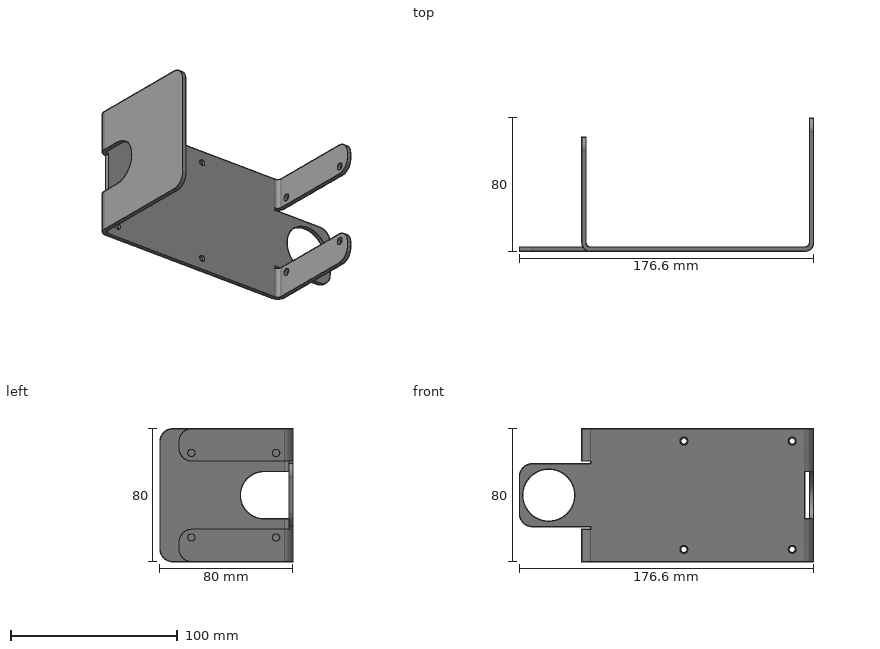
import cadquery as cq

length = 176.6
depth = 80.0
height = 80.0
thickness = 2.6
bend_radius = 5.3
corner_radius = 8.0

tab_length = 37.5
tab_width = 38.0
opening_diameter = 31.0
opening_from_end = 17.7

arm_depth = 68.5
arm_width = 19.6
arm_hole_diameter = 4.5
arm_hole_depths = (10.2, 61.1)
arm_hole_from_edge = 14.7

slot_width = 28.3
slot_depth = 31.6

base_hole_diameter = 3.7
countersink_diameter = 4.8
base_hole_spacing = 65.0
base_hole_start = 98.7

wall_inner_x = length - thickness
bend_start_x = length - bend_radius
arm_base_x = tab_length + bend_radius
arm_center_z = (height - arm_width) / 2


def block(x_range, y_range, z_range):
    """Box spanning the given ranges."""
    spans = (x_range, y_range, z_range)
    sizes = [end - start for start, end in spans]
    corner = tuple(start for start, end in spans)
    return cq.Workplane("XY").box(*sizes, centered=False).translate(corner)


def bent_flange(flange_depth, width):
    """Flange rising along +Y from a bend; its outer face is at X = 0 and the bend ends at X = bend_radius."""
    inner_radius = bend_radius - thickness
    flange = (
        cq.Workplane("XY", origin=(0, 0, -width / 2))
        .moveTo(bend_radius, 0)
        .radiusArc((0, bend_radius), bend_radius)
        .lineTo(0, flange_depth)
        .lineTo(thickness, flange_depth)
        .lineTo(thickness, bend_radius)
        .radiusArc((bend_radius, thickness), -inner_radius)
        .close()
        .extrude(width)
    )
    return flange.edges("|X and >Y").fillet(corner_radius)


def make_base():
    """Flat plate with its four countersunk holes."""
    plate = block((arm_base_x, bend_start_x), (0, thickness), (-height / 2, height / 2))
    for x in (base_hole_start, base_hole_start + base_hole_spacing):
        for z in (-base_hole_spacing / 2, base_hole_spacing / 2):
            hole = cq.Workplane("XZ").center(x, z).circle(base_hole_diameter / 2).extrude(-thickness)
            countersink_depth = (countersink_diameter - base_hole_diameter) / 2
            countersink = cq.Solid.makeCone(
                countersink_diameter / 2,
                base_hole_diameter / 2,
                countersink_depth,
                pnt=cq.Vector(x, 0, z),
                dir=cq.Vector(0, 1, 0),
            )
            plate = plate.cut(hole).cut(cq.Workplane(countersink))
    return plate


def make_tab():
    """Rounded tab continuing the base plate between the arms."""
    tab = block((0, arm_base_x), (0, thickness), (-tab_width / 2, tab_width / 2))
    tab = tab.edges("|Y and <X").fillet(corner_radius)
    opening = cq.Workplane("XZ").center(opening_from_end, 0).circle(opening_diameter / 2).extrude(-thickness)
    return tab.cut(opening)


def make_arm(side):
    """Arm above (side = 1) or below (side = -1) the tab."""
    arm = bent_flange(arm_depth, arm_width).translate((tab_length, 0, side * arm_center_z))
    hole_z = side * (height / 2 - arm_hole_from_edge)
    for y in arm_hole_depths:
        hole = cq.Workplane("YZ", origin=(tab_length, y, hole_z)).circle(arm_hole_diameter / 2)
        arm = arm.cut(hole.extrude(thickness))
    return arm


def make_wall():
    """Full-height right wall with a round-ended slot running out through the bend."""
    wall = bent_flange(depth, height).mirror("YZ").translate((length, 0, 0))
    slot_center_y = slot_depth - slot_width / 2
    slot = block((bend_start_x, length), (0, slot_center_y), (-slot_width / 2, slot_width / 2))
    slot_end = cq.Workplane("YZ", origin=(wall_inner_x, slot_center_y, 0)).circle(slot_width / 2)
    return wall.cut(slot).cut(slot_end.extrude(thickness))


result = make_base().union(make_tab()).union(make_wall())
for side in (1, -1):
    result = result.union(make_arm(side))